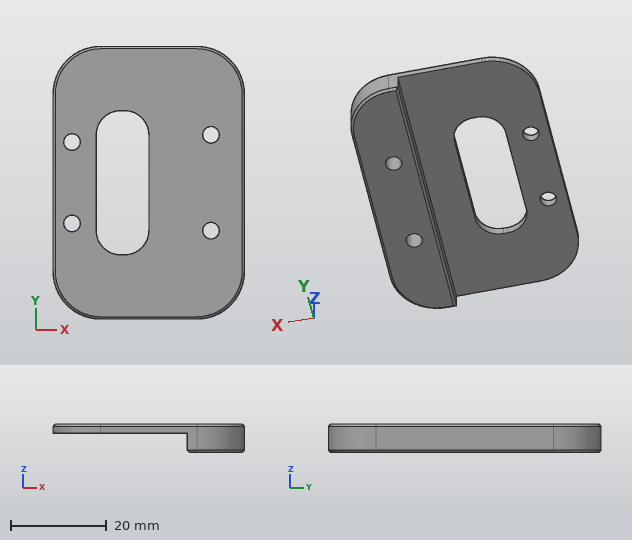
import cadquery as cq

width = 40.0
length = 57.0
plate_thickness = 2.0
corner_radius = 10.0
edge_chamfer = 0.5

total_height = 6.0
bar_width = 11.95

window_width = 10.95
window_length = 30.05
window_radius = 5.0
window_x = -5.5

hole_diameter = 3.4
left_pair_x = -16.0
left_pair_spacing = 17.0
right_pair_x = 13.0
right_pair_spacing = 20.0


def rounded_block(size_x, size_y, height, radius):
    """Block standing on Z = 0 with rounded vertical edges."""
    return cq.Workplane("XY").box(size_x, size_y, height, centered=(True, True, False)).edges("|Z").fillet(radius)


def make_bar():
    """Bar that follows the plate outline, chamfered around its bottom face."""
    bar_x = (width - bar_width) / 2
    slab = cq.Workplane("XY").box(bar_width, length, total_height, centered=(True, True, False))
    bar = rounded_block(width, length, total_height, corner_radius).intersect(slab.translate((bar_x, 0, 0)))
    return bar.faces("<Z").chamfer(edge_chamfer)


def make_holes(pair_x, spacing):
    """Cutters for a pair of through holes spaced along Y."""
    points = [(pair_x, -spacing / 2), (pair_x, spacing / 2)]
    return cq.Workplane("XY").pushPoints(points).circle(hole_diameter / 2).extrude(total_height)


plate = rounded_block(width, length, plate_thickness, corner_radius)
plate = plate.translate((0, 0, total_height - plate_thickness))
body = plate.union(make_bar()).faces(">Z").chamfer(edge_chamfer)

window = rounded_block(window_width, window_length, total_height, window_radius)
body = body.cut(window.translate((window_x, 0, 0)))

for pair_x, spacing in ((left_pair_x, left_pair_spacing), (right_pair_x, right_pair_spacing)):
    body = body.cut(make_holes(pair_x, spacing))

result = body